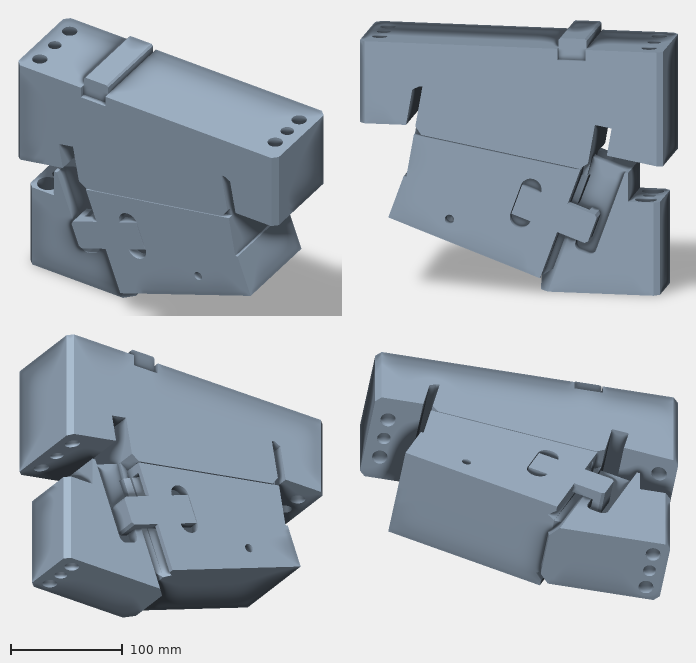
import cadquery as cq
import math


driver_length = 275.0
driver_width = 85.0
driver_top = 225.2
driver_left_bottom = 120.5
driver_right_bottom = 150.2
corner_chamfer = 5.0

key_start = 69.3
key_width = 25.5
key_length = 75.0
key_bottom = 214.8
key_top = 234.0
key_chamfer = 1.6

drive_angle = 10.0
drive_corner = (225.2, 141.5)
drive_side_drop = 39.5
contact_half_width = 37.0
side_relief = 1.0
corner_bevel = 7.7

left_slot_corner = (45.6, 154.3)
left_slot_width = 15.5
left_slot_depth = 25.3
right_slot_top = 186.0
right_slot_shoulder = (226.5, 182.5)
right_slot_flat = 3.0

left_hole_x = 14.8
left_screw_spread = 25.0
right_hole_x = 260.2
right_screw_spread = 20.0
screw_radius = 7.0
dowel_radius = 6.0

base_left = 5.0
base_right = 113.8
base_width = 60.0
base_step_x = 33.0
base_step_z = 85.0
neck_half_width = 19.2
base_screw_spread = 17.5
counterbore_radius = 10.0
base_screw_radius = 6.5
screw_seat_thickness = 27.5
base_dowel_radius = 5.8

guide_angle = 20.0
guide_origin = (36.0, 111.5)
flange_start = 19.8
flange_end = 27.5
flange_top = -45.5
groove_bottom = -82.5
groove_radius = 6.3
foot_taper_length = 14.8
foot_taper_depth = 18.0
base_pocket_u = 25.5
base_pocket_radius = 10.2
base_pocket_depth = 27.5

slider_front = 37.0
slider_back = 183.7
slider_bottom = -116.3
nose_front = 30.5
nose_neck_front = 32.7
nose_tip_half_width = 23.6
valley_outer_half_width = 38.0
valley_half_width = 31.4
valley_depth = 6.5
nose_bottom_chamfer = 8.2
nose_shoulder_drop = 8.0

hook_front = 8.2
hook_top = -43.0
hook_bottom = -70.7
hook_inner_half_width = 33.3
hook_lip_end = 17.5
hook_lip_half_width = 19.8
hook_chamfer = 2.5
hook_seat_u = 72.5
hook_seat_radius = 9.5
hook_bar_end = 81.5
side_hole_u = 131.7
side_hole_v = -96.8
side_hole_radius = 4.0
side_hole_depth = 9.4
drill_point_angle = 118.0

half_width = driver_width / 2
base_half_width = base_width / 2
wall_angle = drive_angle + 90
bevel_angle = wall_angle + 45
guide_normal = guide_angle + 90
SIDES = (-1, 1)


def step(point, angle, distance):
    """Point reached from `point` by going `distance` at `angle` degrees above X."""
    a = math.radians(angle)
    return (point[0] + distance * math.cos(a), point[1] + distance * math.sin(a))


def guide(u, v):
    """X and Z of a point in the guide frame."""
    return step(step(guide_origin, guide_angle, u), guide_normal, v)


def meet(p, angle_p, q, angle_q):
    """Crossing point of the line through p and the line through q."""
    a, b = math.radians(angle_p), math.radians(angle_q)
    dx, dz = q[0] - p[0], q[1] - p[1]
    distance = (dx * math.sin(b) - dz * math.cos(b)) / math.sin(b - a)
    return step(p, angle_p, distance)


def at_height(point, angle, z):
    """Point at height z on the line through `point`."""
    return meet(point, angle, (0, z), 0)


def slab(points, y_from, y_to):
    """Outline in the XZ plane given thickness between two Y positions."""
    plane = cq.Workplane("XZ", origin=(0, y_to, 0))
    return plane.polyline(points).close().extrude(y_to - y_from)


def centred_slab(points, half):
    return slab(points, -half, half)


def side_slab(points, inner, outer, side):
    """Slab between two distances from the middle plane, on one side of it."""
    y_from, y_to = sorted((side * inner, side * outer))
    return slab(points, y_from, y_to)


def guide_box(u_from, u_to, v_from, v_to):
    return [guide(u_from, v_from), guide(u_to, v_from), guide(u_to, v_to), guide(u_from, v_to)]


def vertical_hole(x, y, z_from, z_to, radius):
    return cq.Workplane("XY", origin=(x, y, z_from)).circle(radius).extrude(z_to - z_from)


def upright_block(x_from, x_to, width, height):
    """Block with all four upright edges chamfered."""
    block = cq.Workplane("XY").rect(x_to - x_from, width).extrude(height).edges("|Z").chamfer(corner_chamfer)
    return block.translate(((x_from + x_to) / 2, 0, 0))


left_slot_right = step(left_slot_corner, drive_angle, left_slot_width)
drive_left = meet(left_slot_right, wall_angle, drive_corner, drive_angle)
bevel_right = step(drive_left, drive_angle, corner_bevel)


def front_top(u):
    """Point of the drive line at distance u along the guide."""
    return meet(drive_corner, drive_angle, guide(u, 0), guide_normal)


def nose_shoulder(u):
    """Point of the upper end of the nose at distance u along the guide."""
    return step(front_top(u), wall_angle, -nose_shoulder_drop)


def guide_prism(profile):
    """Cross-section in u and Y carried along v, well past both ends of the guide."""
    prism = cq.Workplane("XY").polyline(profile).close().extrude(2 * slider_bottom, both=True)
    x, z = guide_origin
    return prism.rotate((0, 0, 0), (0, 1, 0), -guide_angle).translate((x, 0, z))


def driver_outline():
    right_slot_left = at_height(drive_corner, wall_angle, right_slot_top)
    return [
        (0, driver_top),
        (0, driver_left_bottom),
        step(left_slot_corner, wall_angle, -left_slot_depth),
        left_slot_corner,
        left_slot_right,
        step(drive_left, wall_angle, corner_bevel),
        bevel_right,
        drive_corner,
        right_slot_left,
        (right_slot_left[0] + right_slot_flat, right_slot_top),
        right_slot_shoulder,
        at_height(right_slot_shoulder, wall_angle, driver_right_bottom),
        (driver_length, driver_right_bottom),
        (driver_length, driver_top),
    ]


def drive_face_relief(side):
    """Shallow step along one lower edge of the drive face, bevelled at its far end."""
    relief_left = step(drive_left, wall_angle, side_relief)
    relief_right = step(drive_corner, wall_angle, side_relief)
    outline = [
        bevel_right,
        step(relief_left, drive_angle, corner_bevel - side_relief),
        step(relief_right, drive_angle, side_relief - corner_bevel),
        step(drive_corner, wall_angle, corner_bevel),
        drive_corner,
    ]
    return side_slab(outline, contact_half_width, half_width, side)


def make_driver():
    body = centred_slab(driver_outline(), half_width)
    body = body.intersect(upright_block(0, driver_length, driver_width, driver_top))
    for side in SIDES:
        body = body.cut(drive_face_relief(side))
    for x, spread in ((left_hole_x, left_screw_spread), (right_hole_x, right_screw_spread)):
        for y, radius in ((-spread, screw_radius), (0, dowel_radius), (spread, screw_radius)):
            body = body.cut(vertical_hole(x, y, 0, driver_top, radius))
    key_centre = key_start + key_width / 2
    slot = cq.Workplane("XY", origin=(key_centre, 0, key_bottom)).rect(key_width, driver_width)
    body = body.cut(slot.extrude(driver_top - key_bottom))
    key = cq.Workplane("XY", origin=(key_centre, 0, key_bottom)).rect(key_width, key_length)
    key = key.extrude(key_top - key_bottom).faces(">Z").edges("|Y").chamfer(key_chamfer)
    return body.union(key)


def make_base():
    shoulder = (base_step_x, guide_origin[1])
    flange_foot = at_height(guide(flange_end, 0), guide_normal, 0)
    block = centred_slab(
        [
            (base_left, 0),
            (base_left, base_step_z),
            (base_step_x, base_step_z),
            shoulder,
            guide_origin,
            guide(flange_end, 0),
            flange_foot,
        ],
        base_half_width,
    )
    block = block.intersect(upright_block(base_left, base_right + 2 * corner_chamfer, base_width, driver_top))
    for side in SIDES:
        groove = guide_box(0, flange_start, groove_bottom, 2 * groove_radius)
        groove = side_slab(groove, neck_half_width, half_width, side).edges("|Y").fillet(groove_radius)
        opening = guide_box(0, nose_front, flange_top, groove_radius)
        block = block.cut(groove).cut(side_slab(opening, neck_half_width, half_width, side))
    body = block.union(base_neck()).union(base_foot())
    hole_x = (base_left + base_step_x) / 2
    body = body.cut(vertical_hole(hole_x, 0, 0, base_step_z, base_dowel_radius))
    for side in SIDES:
        y = side * base_screw_spread
        body = body.cut(vertical_hole(hole_x, y, 0, base_step_z, base_screw_radius))
        body = body.cut(vertical_hole(hole_x, y, screw_seat_thickness, base_step_z, counterbore_radius))
    return body.cut(base_pocket())


def base_neck():
    """Central web between the two grooves, reaching forward to the slider."""
    outline = [
        guide(0, 0),
        guide(nose_neck_front, 0),
        nose_shoulder(nose_neck_front),
        nose_shoulder(nose_front),
        guide(nose_front, slider_bottom),
        guide(0, slider_bottom),
    ]
    return centred_slab(outline, neck_half_width)


def base_foot():
    """Tapered front of the base under the flange, running on below the slider."""
    outline = [
        guide(0, groove_bottom),
        guide(flange_end, flange_top),
        guide(nose_front, flange_top),
        guide(nose_front, slider_bottom + nose_bottom_chamfer),
        guide(slider_front, slider_bottom),
        meet(guide(0, slider_bottom), guide_angle, (base_right, 0), 90),
        (base_right, 0),
        (base_step_x, 0),
    ]
    taper_end = flange_end + foot_taper_length
    foot_half_width = base_half_width - foot_taper_depth
    profile = [
        (flange_start, base_half_width),
        (flange_end, base_half_width),
        (taper_end, foot_half_width),
        (slider_back, foot_half_width),
        (slider_back, -foot_half_width),
        (taper_end, -foot_half_width),
        (flange_end, -base_half_width),
        (flange_start, -base_half_width),
    ]
    return centred_slab(outline, base_half_width).intersect(guide_prism(profile))


def base_pocket():
    """Round pocket sunk square to the sloping top of the base, open on its guide face."""
    x, z = guide(base_pocket_u, 0)
    pocket = cq.Workplane("XY").circle(base_pocket_radius).extrude(-base_pocket_depth)
    return pocket.rotate((0, 0, 0), (0, 1, 0), -guide_angle).translate((x, 0, z))


nose_flank_share = (slider_front - nose_front) / (slider_front + valley_depth - nose_front)
nose_half_width_at_front = nose_tip_half_width + (valley_half_width - nose_tip_half_width) * nose_flank_share


def slider_body():
    back_top = step(drive_corner, wall_angle, -drive_side_drop)
    outline = [
        front_top(slider_front),
        drive_corner,
        back_top,
        meet(back_top, drive_angle, guide(slider_back, 0), guide_normal),
        guide(slider_back, slider_bottom),
        guide(slider_front, slider_bottom),
    ]
    return centred_slab(outline, half_width)


def slider_valley(side):
    """V-shaped valley along the front of the slider, beside the nose."""
    profile = [
        (slider_front, side * valley_outer_half_width),
        (slider_front + valley_depth, side * valley_half_width),
        (slider_front, side * nose_half_width_at_front),
    ]
    past_valley = slider_front + 2 * valley_depth
    outline = [
        nose_shoulder(nose_front),
        nose_shoulder(past_valley),
        guide(past_valley, 2 * slider_bottom),
        guide(nose_front, 2 * slider_bottom),
    ]
    return guide_prism(profile).intersect(centred_slab(outline, half_width))


def slider_nose():
    """Bevelled rib on the front of the slider, with a set-back neck at its upper end."""
    profile = [
        (slider_front, nose_half_width_at_front),
        (nose_front, nose_tip_half_width),
        (nose_front, -nose_tip_half_width),
        (slider_front, -nose_half_width_at_front),
    ]
    rib_outline = [
        nose_shoulder(slider_front),
        nose_shoulder(nose_front),
        guide(nose_front, slider_bottom + nose_bottom_chamfer),
        guide(slider_front, slider_bottom),
    ]
    neck_outline = [
        front_top(slider_front),
        bevel_right,
        meet(bevel_right, bevel_angle, guide(nose_neck_front, 0), guide_normal),
        nose_shoulder(nose_neck_front),
        nose_shoulder(slider_front),
    ]
    rib = guide_prism(profile).intersect(centred_slab(rib_outline, half_width))
    return rib.union(centred_slab(neck_outline, nose_tip_half_width))


def hook_seat(side):
    """Rounded recess left around the buried end of a hook."""
    left, right = hook_seat_u - hook_seat_radius, hook_seat_u + hook_seat_radius
    seat = side_slab(guide_box(left, right, hook_bottom, hook_top), hook_inner_half_width, half_width, side)
    for v in (hook_bottom, hook_top):
        x, z = guide(hook_seat_u, v)
        end = cq.Workplane("XZ").center(x, z).circle(hook_seat_radius)
        end = end.extrude(-side * (half_width - hook_inner_half_width))
        seat = seat.union(end.translate((0, side * hook_inner_half_width, 0)))
    return seat


def hook(side):
    """Bar along the side of the slider whose turned-in lip grips the groove of the base."""
    front = [
        guide(hook_front + hook_chamfer, hook_top),
        guide(hook_front, hook_top - hook_chamfer),
        guide(hook_front, hook_bottom + hook_chamfer),
        guide(hook_front + hook_chamfer, hook_bottom),
    ]
    bar = front + [guide(hook_bar_end, hook_bottom), guide(hook_bar_end, hook_top)]
    lip = front + [guide(hook_lip_end, hook_bottom), guide(hook_lip_end, hook_top)]
    body = side_slab(bar, hook_inner_half_width, half_width, side)
    return body.union(side_slab(lip, hook_lip_half_width, half_width, side))


def side_hole(side):
    """Blind drilled hole with a conical bottom."""
    x, z = guide(side_hole_u, side_hole_v)
    point_depth = side_hole_radius / math.tan(math.radians(drill_point_angle / 2))
    profile = [
        (0, half_width),
        (side_hole_radius, half_width),
        (side_hole_radius, half_width - side_hole_depth),
        (0, half_width - side_hole_depth - point_depth),
    ]
    hole = cq.Workplane("XY").polyline(profile).close().revolve(360, (0, 0, 0), (0, 1, 0))
    if side < 0:
        hole = hole.mirror("XZ")
    return hole.translate((x, 0, z))


def make_slider():
    body = slider_body()
    for side in SIDES:
        body = body.cut(slider_valley(side))
    body = body.union(slider_nose())
    for side in SIDES:
        body = body.cut(hook_seat(side)).union(hook(side)).cut(side_hole(side))
    return body


driver = make_driver()
base = make_base()
slider = make_slider()
result = cq.Compound.makeCompound([driver.val(), base.val(), slider.val()])